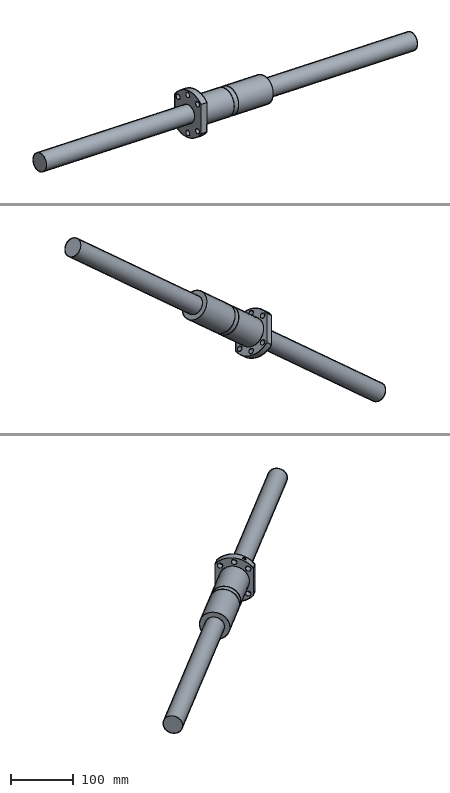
import cadquery as cq
import math

SHAFT_LENGTH = 800.0
SHAFT_DIAMETER = 32.0

NUT_LENGTH = 162.0
NUT_DIAMETER = 50.0
NUT_FRONT_Y = -NUT_LENGTH / 2

FLANGE_DIAMETER = 80.0
FLANGE_WIDTH = 62.0
FLANGE_THICKNESS = 13.0

BOLT_CIRCLE_DIAMETER = 65.0
BOLT_HOLE_DIAMETER = 9.0
BOLT_ANGLES = (45, 90, 135, 225, 270, 315)

OIL_HOLE_DIAMETER = 5.0
OIL_HOLE_ANGLE = (90 + 135) / 2
OIL_HOLE_FRONT_GAP = 6.0
OIL_HOLE_Y = NUT_FRONT_Y + OIL_HOLE_FRONT_GAP

GROOVE_BACK_Y = 6.0
GROOVE_WIDTH = 10.0
GROOVE_DEPTH = 0.2


def cylinder_along_y(diameter, start_y, length):
    """Solid cylinder around the Y axis, from start_y toward +Y."""
    solid = cq.Solid.makeCylinder(
        diameter / 2, length, cq.Vector(0, start_y, 0), cq.Vector(0, 1, 0)
    )
    return cq.Workplane(obj=solid)


def make_shaft():
    return cylinder_along_y(SHAFT_DIAMETER, -SHAFT_LENGTH / 2, SHAFT_LENGTH)


def make_flange():
    disc = cylinder_along_y(FLANGE_DIAMETER, NUT_FRONT_Y, FLANGE_THICKNESS)
    flat_sides = cq.Workplane().box(FLANGE_WIDTH, NUT_LENGTH, FLANGE_DIAMETER)
    return disc.intersect(flat_sides)


def make_bolt_hole(angle):
    radius = BOLT_CIRCLE_DIAMETER / 2
    x = radius * math.cos(math.radians(angle))
    z = radius * math.sin(math.radians(angle))
    hole = cylinder_along_y(BOLT_HOLE_DIAMETER, NUT_FRONT_Y, FLANGE_THICKNESS)
    return hole.translate((x, 0, z))


def make_oil_hole():
    """Radial cutter from the shaft axis out through the flange rim."""
    angle = math.radians(OIL_HOLE_ANGLE)
    outward = cq.Vector(math.cos(angle), 0, math.sin(angle))
    start = cq.Vector(0, OIL_HOLE_Y, 0)
    return cq.Workplane(
        obj=cq.Solid.makeCylinder(OIL_HOLE_DIAMETER / 2, FLANGE_DIAMETER, start, outward)
    )


def make_groove():
    start_y = GROOVE_BACK_Y - GROOVE_WIDTH
    outer = cylinder_along_y(FLANGE_DIAMETER, start_y, GROOVE_WIDTH)
    floor = cylinder_along_y(NUT_DIAMETER - 2 * GROOVE_DEPTH, start_y, GROOVE_WIDTH)
    return outer.cut(floor)


def make_nut():
    nut = cylinder_along_y(NUT_DIAMETER, NUT_FRONT_Y, NUT_LENGTH)
    nut = nut.union(make_flange())
    nut = nut.cut(make_groove())
    for angle in BOLT_ANGLES:
        nut = nut.cut(make_bolt_hole(angle))
    nut = nut.cut(make_oil_hole())
    shaft_bore = cylinder_along_y(SHAFT_DIAMETER, NUT_FRONT_Y, NUT_LENGTH)
    return nut.cut(shaft_bore)


shaft = make_shaft()
nut = make_nut()

result = cq.Compound.makeCompound([shaft.val(), *nut.solids().vals()])